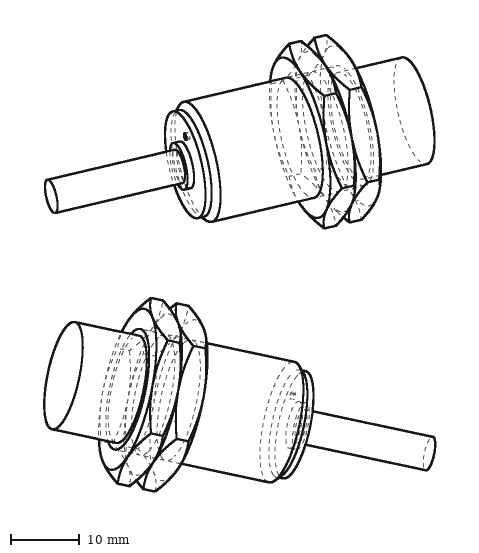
import cadquery as cq
import math

TOTAL_LENGTH = 57.0

CABLE_DIAMETER = 5.0
CABLE_LENGTH = 20.0
COLLAR_DIAMETER = 7.0
COLLAR_LENGTH = 1.0

THREAD_DIAMETER = 18.0
END_DIAMETER = 16.0
REAR_STEP_LENGTH = 0.95
NOSE_LENGTH = 10.0

LAMP_DIAMETER = 1.0
LAMP_HEIGHT = 5.1

NUT_ACROSS_FLATS = 24.0
NUT_THICKNESS = 4.0
NUT_COUNT = 2
NUT_CHAMFER_ANGLE = 30.0

collar_end = CABLE_LENGTH + COLLAR_LENGTH
rear_step_end = collar_end + REAR_STEP_LENGTH
thread_chamfer = (THREAD_DIAMETER - END_DIAMETER) / 2
nose_start = TOTAL_LENGTH - NOSE_LENGTH
nuts_start = nose_start - NUT_COUNT * NUT_THICKNESS


def cylinder(diameter, start, end):
    """Solid cylinder on the Y axis between two places along it."""
    radius = diameter / 2
    return cq.Workplane(cq.Solid.makeCylinder(radius, end - start, cq.Vector(0, start, 0), cq.Vector(0, 1, 0)))


def make_lamp_recess():
    """Ring-shaped space left between the wall of the lamp recess and the dome inside it."""
    depth = LAMP_DIAMETER / 2
    recess_bottom = collar_end + depth
    recess = cylinder(LAMP_DIAMETER, collar_end, recess_bottom)
    dome = cq.Workplane("XY").sphere(LAMP_DIAMETER / 2).translate((0, recess_bottom, 0))
    return recess.cut(dome).translate((0, 0, LAMP_HEIGHT))


def make_sensor():
    """Stepped barrel with the cable, collar and sunken indicator lamp."""
    cable = cylinder(CABLE_DIAMETER, 0, CABLE_LENGTH)
    collar = cylinder(COLLAR_DIAMETER, CABLE_LENGTH, collar_end)
    rear_step = cylinder(END_DIAMETER, collar_end, rear_step_end)
    thread = cylinder(THREAD_DIAMETER, rear_step_end, nose_start).faces("<Y").chamfer(thread_chamfer)
    nose = cylinder(END_DIAMETER, nose_start, TOTAL_LENGTH)
    return cable.union(collar).union(rear_step).union(thread).union(nose).cut(make_lamp_recess())


def make_nut(start):
    """Hexagon nut with its corners chamfered on both faces and a bore for the thread."""
    end = start + NUT_THICKNESS
    face_radius = NUT_ACROSS_FLATS / 2
    corner_radius = face_radius / math.cos(math.radians(30))
    chamfer_depth = (corner_radius - face_radius) * math.tan(math.radians(NUT_CHAMFER_ANGLE))

    hexagon = (
        cq.Workplane("XZ", origin=(0, end, 0))
        .polygon(6, 2 * corner_radius)
        .extrude(NUT_THICKNESS)
    )
    envelope = (
        cq.Workplane("XY")
        .moveTo(0, start)
        .lineTo(face_radius, start)
        .lineTo(corner_radius, start + chamfer_depth)
        .lineTo(corner_radius, end - chamfer_depth)
        .lineTo(face_radius, end)
        .lineTo(0, end)
        .close()
        .revolve(360, (0, 0, 0), (0, 1, 0))
    )
    return hexagon.intersect(envelope).cut(cylinder(THREAD_DIAMETER, start, end))


sensor = make_sensor()
nuts = [make_nut(nuts_start + index * NUT_THICKNESS) for index in range(NUT_COUNT)]

result = cq.Compound.makeCompound([sensor.val(), *[nut.val() for nut in nuts]])